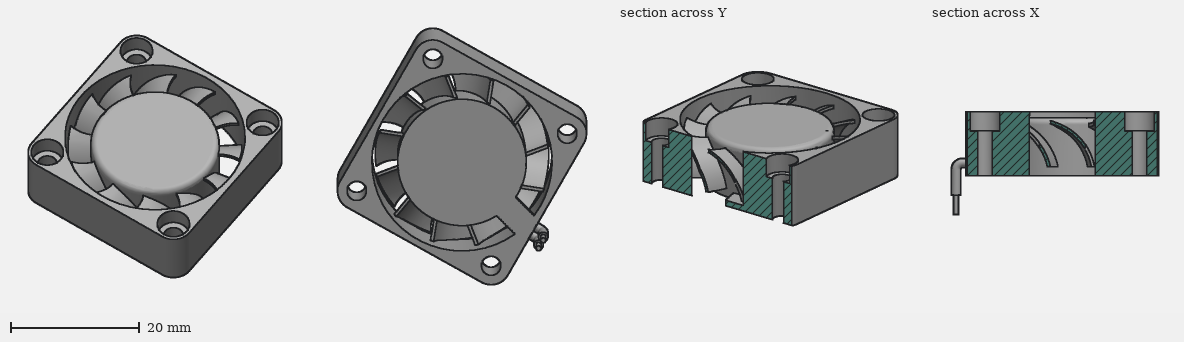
import cadquery as cq
import math

frame_side = 30.0
frame_height = 10.0
corner_radius = 3.0
bore_radius = 14.0

hole_pitch = 24.0
hole_diameter = 3.0
counterbore_diameter = 5.0
counterbore_depth = 3.0

hub_radius = 10.0
hub_top = frame_height - 1.0
hub_fillet = 1.0

blade_count = 12
blade_first_angle = 39.5
blade_tip_radius = 13.5
blade_root_x = hub_radius - 1.0
blade_thickness = 0.5
blade_bulge = 0.15
blade_high_y = -4.25
blade_high_z = frame_height - 1.32
blade_low_y = 2.87
blade_low_z = 1.42
blade_edge_hub = (9.68, -2.58)
blade_edge_middle = (11.1, -3.0)
blade_edge_tip = (12.87, blade_high_y)

strut_width = 4.15
strut_thickness = 1.0
strut_angle = 106.0
strut_overlap = 1.0

lead_centre_x = -4.25
lead_pitch = 1.45
sleeve_diameter = 1.48
sleeve_bottom = -3.0
core_diameter = 0.8
core_bottom = -6.0
lead_z = 2.0
lead_bend_radius = 1.0
lead_reach = 2.25
lead_embed = 0.48


def make_frame():
    body = (
        cq.Workplane("XY")
        .rect(frame_side, frame_side)
        .extrude(frame_height)
        .edges("|Z")
        .fillet(corner_radius)
    )
    bore = cq.Workplane("XY").circle(bore_radius).extrude(frame_height)
    return (
        body.cut(bore)
        .faces(">Z")
        .workplane(origin=(0, 0, frame_height))
        .rect(hole_pitch, hole_pitch, forConstruction=True)
        .vertices()
        .cboreHole(hole_diameter, counterbore_diameter, counterbore_depth)
    )


def make_hub():
    hub = cq.Workplane("XY").circle(hub_radius).extrude(hub_top)
    return hub.faces(">Z").edges().fillet(hub_fillet)


def make_strut():
    middle_radius = (hub_radius + bore_radius) / 2
    length = bore_radius - hub_radius + 2 * strut_overlap
    return (
        cq.Workplane("XY")
        .center(middle_radius, 0)
        .rect(length, strut_width)
        .extrude(strut_thickness)
        .rotate((0, 0, 0), (0, 0, 1), strut_angle)
    )


def arc_crown(start, end):
    """Middle point of a blade arc, bulging up and towards the low edge."""
    run = end[0] - start[0]
    drop = start[1] - end[1]
    middle_y = (start[0] + end[0]) / 2
    middle_z = (start[1] + end[1]) / 2
    return (middle_y + blade_bulge * drop, middle_z + blade_bulge * run)


def make_blade():
    """Curved strip running straight outwards, trimmed in plan to its edges and the tip circle."""
    high = (blade_high_y, blade_high_z)
    low = (blade_low_y, blade_low_z)
    high_under = (blade_high_y, blade_high_z - blade_thickness)
    low_under = (blade_low_y - blade_thickness, blade_low_z)
    strip = (
        cq.Workplane("YZ", origin=(blade_root_x, 0, 0))
        .moveTo(*high)
        .threePointArc(arc_crown(high, low), low)
        .lineTo(*low_under)
        .threePointArc(arc_crown(high_under, low_under), high_under)
        .close()
        .extrude(blade_tip_radius - blade_root_x)
    )
    plan = (
        cq.Workplane("XY")
        .moveTo(blade_root_x, blade_edge_hub[1])
        .lineTo(*blade_edge_hub)
        .threePointArc(blade_edge_middle, blade_edge_tip)
        .lineTo(blade_tip_radius, blade_high_y)
        .lineTo(blade_tip_radius, blade_low_y)
        .lineTo(blade_root_x, blade_low_y)
        .close()
        .extrude(frame_height)
    )
    tip_circle = cq.Workplane("XY").circle(blade_tip_radius).extrude(frame_height)
    return strip.intersect(plan).intersect(tip_circle)


def make_lead(x):
    wall_y = frame_side / 2
    drop_y = wall_y + lead_reach - sleeve_diameter / 2
    bend_y = drop_y - lead_bend_radius
    bend_z = lead_z - lead_bend_radius
    diagonal = lead_bend_radius * math.sqrt(0.5)
    path = (
        cq.Workplane("YZ", origin=(x, 0, 0))
        .moveTo(wall_y - lead_embed, lead_z)
        .lineTo(bend_y, lead_z)
        .threePointArc((bend_y + diagonal, bend_z + diagonal), (drop_y, bend_z))
        .lineTo(drop_y, sleeve_bottom)
    )
    sleeve = (
        cq.Workplane("XZ", origin=(x, wall_y - lead_embed, lead_z))
        .circle(sleeve_diameter / 2)
        .sweep(path)
    )
    core = (
        cq.Workplane("XY", origin=(x, drop_y, core_bottom))
        .circle(core_diameter / 2)
        .extrude(-core_bottom)
    )
    return sleeve.union(core)


result = make_frame().union(make_hub()).union(make_strut())

blade = make_blade()
blade_pitch = 360 / blade_count
for i in range(blade_count):
    angle = blade_first_angle + i * blade_pitch
    result = result.union(blade.rotate((0, 0, 0), (0, 0, 1), angle))

for side in (-1, 1):
    result = result.union(make_lead(lead_centre_x + side * lead_pitch / 2))